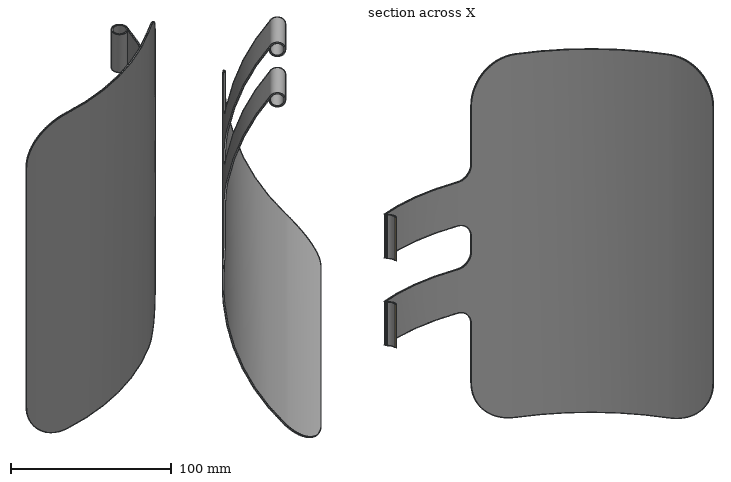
import cadquery as cq
import math

THICKNESS = 1.0
INNER_RADIUS = 150.0
OUTER_RADIUS = INNER_RADIUS + THICKNESS

PANEL_HEIGHT = 250.0
PANEL_ANGLE = 60.0
PANEL_CORNER_RADIUS = 30.0

ARM_END_ANGLE = 90.0
ARM_WIDTH = 30.0
ARM_GAP = 30.0
ARM_CENTRES = [side * (ARM_GAP + ARM_WIDTH) / 2 for side in (-1, 1)]
ARM_ROOT_RADIUS = 10.0

WEDGE_DEPTH = 10.0

LOOP_OUTER_RADIUS = 5.25
LOOP_INNER_RADIUS = LOOP_OUTER_RADIUS - THICKNESS
LOOP_SWEEP = 315.0
LOOP_CENTRE_Y = OUTER_RADIUS - LOOP_OUTER_RADIUS


def polar(radius, angle):
    """Point in the XY plane at an angle in degrees from the +X axis."""
    return (radius * math.cos(math.radians(angle)), radius * math.sin(math.radians(angle)))


def ring_sector(inner_radius, outer_radius, start_angle, end_angle, height):
    """Part of a ring about the Z axis, centred on Z = 0."""
    mid_angle = (start_angle + end_angle) / 2
    return (
        cq.Workplane("XY", origin=(0, 0, -height / 2))
        .moveTo(*polar(inner_radius, start_angle))
        .lineTo(*polar(outer_radius, start_angle))
        .threePointArc(polar(outer_radius, mid_angle), polar(outer_radius, end_angle))
        .lineTo(*polar(inner_radius, end_angle))
        .threePointArc(polar(inner_radius, mid_angle), polar(inner_radius, start_angle))
        .close()
        .extrude(height)
    )


def curved_strip(end_angle, height):
    """Curved sheet from the +X axis round to end_angle."""
    return ring_sector(INNER_RADIUS, OUTER_RADIUS, 0, end_angle, height)


def arm():
    """Arm strip with its end rolled back under it into an open loop."""
    loop_end_angle = ARM_END_ANGLE + LOOP_SWEEP
    loop = ring_sector(LOOP_INNER_RADIUS, LOOP_OUTER_RADIUS, ARM_END_ANGLE, loop_end_angle, ARM_WIDTH)
    return curved_strip(ARM_END_ANGLE, ARM_WIDTH).union(loop.translate((0, LOOP_CENTRE_Y, 0)))


def corner_wedge(angle, z, along, up, radius):
    """Radial prism between a square corner and the arc rounding it.

    The corner sits at the given angle and height. The signs along and up point from it towards
    the arc: along = 1 is towards larger angles, up = 1 is towards +Z.
    """
    radial_plane = cq.Plane(
        origin=(*polar(INNER_RADIUS - WEDGE_DEPTH, angle), z),
        xDir=(*polar(1, angle + 90), 0),
        normal=(*polar(1, angle), 0),
    )
    arc_offset = radius * (1 - math.sqrt(0.5))
    return (
        cq.Workplane(radial_plane)
        .lineTo(along * radius, 0)
        .threePointArc((along * arc_offset, up * arc_offset), (0, up * radius))
        .close()
        .extrude(WEDGE_DEPTH + THICKNESS + WEDGE_DEPTH)
    )


def curved_plate():
    """Panel with rounded corners, carrying two looped arms with filleted roots."""
    plate = curved_strip(PANEL_ANGLE, PANEL_HEIGHT)
    for side in (-1, 1):
        corner_z = side * PANEL_HEIGHT / 2
        plate = plate.cut(corner_wedge(0, corner_z, 1, -side, PANEL_CORNER_RADIUS))
        plate = plate.cut(corner_wedge(PANEL_ANGLE, corner_z, -1, -side, PANEL_CORNER_RADIUS))

    full_sheet = curved_strip(ARM_END_ANGLE, PANEL_HEIGHT)
    for arm_z in ARM_CENTRES:
        plate = plate.union(arm().translate((0, 0, arm_z)))
        for side in (-1, 1):
            root_z = arm_z + side * ARM_WIDTH / 2
            root = corner_wedge(PANEL_ANGLE, root_z, 1, side, ARM_ROOT_RADIUS)
            plate = plate.union(root.intersect(full_sheet))
    return plate


result = curved_plate()